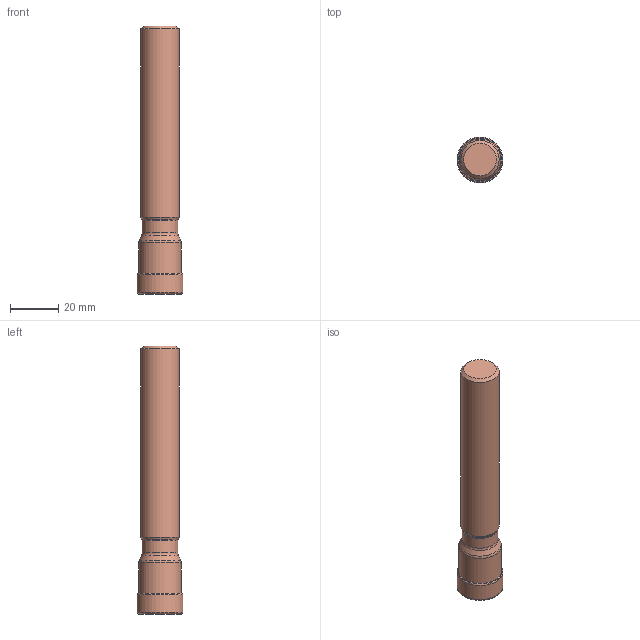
import cadquery as cq
import math

total_length = 111.12
head_diameter = 19.05

head_length = 8.5
head_rim_radius = 0.8
head_top_round_height = 0.6

collar_diameter = 17.7
neck_diameter = 14.8
rod_diameter = 15.875
shoulder_angle = 25.0
collar_top_z = 21.2
rod_bottom_z = 31.75
collar_shoulder_radius = 2.37
neck_end_radius = 1.3
rod_end_chamfer = 1.2

head_r = head_diameter / 2
collar_r = collar_diameter / 2
neck_r = neck_diameter / 2
rod_r = rod_diameter / 2
angle = math.radians(shoulder_angle)

head_side_top_z = head_length - head_top_round_height
land_r = head_r - head_rim_radius + math.sqrt(head_rim_radius**2 - head_top_round_height**2)

round_length = math.sin(angle)
round_depth = 1 - math.cos(angle)

collar_round_length = collar_shoulder_radius * round_length
collar_round_depth = collar_shoulder_radius * round_depth
collar_cone_r = collar_r - collar_round_depth
neck_cone_r = neck_r + collar_round_depth
collar_cone_z = collar_top_z + collar_round_length
neck_cone_z = collar_cone_z + (collar_cone_r - neck_cone_r) / math.tan(angle)
neck_start_z = neck_cone_z + collar_round_length

rod_cone_r = neck_r + neck_end_radius * round_depth
rod_cone_z = rod_bottom_z - (rod_r - rod_cone_r) / math.tan(angle)
neck_end_z = rod_cone_z - neck_end_radius * round_length


def turned(profile):
    """Close a half profile on the Z axis and turn it into a solid."""
    return profile.close().revolve(360, (0, 0, 0), (0, 1, 0))


def make_head():
    profile = (
        cq.Workplane("XZ")
        .lineTo(head_r - head_rim_radius, 0)
        .tangentArcPoint((head_r, head_rim_radius), relative=False)
        .lineTo(head_r, head_side_top_z)
        .tangentArcPoint((land_r, head_length), relative=False)
        .lineTo(0, head_length)
    )
    return turned(profile)


def make_holder():
    profile = (
        cq.Workplane("XZ")
        .moveTo(0, head_length)
        .lineTo(collar_r, head_length)
        .lineTo(collar_r, collar_top_z)
        .tangentArcPoint((collar_cone_r, collar_cone_z), relative=False)
        .lineTo(neck_cone_r, neck_cone_z)
        .tangentArcPoint((neck_r, neck_start_z), relative=False)
        .lineTo(neck_r, neck_end_z)
        .tangentArcPoint((rod_cone_r, rod_cone_z), relative=False)
        .lineTo(rod_r, rod_bottom_z)
        .lineTo(rod_r, total_length - rod_end_chamfer)
        .lineTo(rod_r - rod_end_chamfer, total_length)
        .lineTo(0, total_length)
    )
    return turned(profile)


head = make_head()
holder = make_holder()
result = cq.Compound.makeCompound([head.val(), holder.val()])